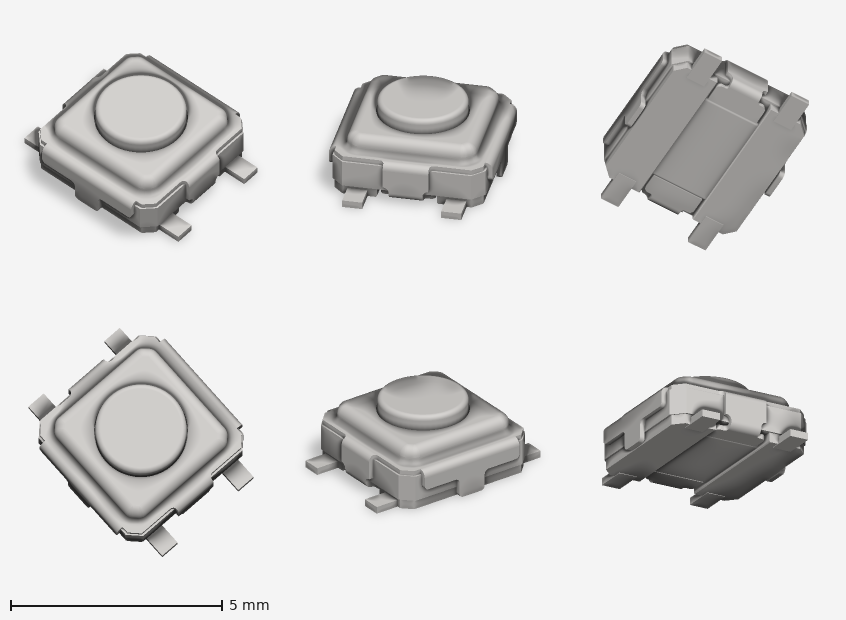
import cadquery as cq
import math


overall_height = 1.8
base_bottom = 0.015
step_z = 0.26
sheet = 0.125
cover_top = 1.035
base_top = cover_top - sheet
dome_top = 1.445

base_width = 3.705
base_half = base_width / 2
base_corner = 0.29
plate_half = 1.8
plate_corner = 0.24

dome_width = 3.13
dome_half = dome_width / 2
dome_corner = 0.24
dome_edge_radius = 0.24
dome_foot_radius = 0.115
dome_corner_radius = 0.245

clip_outer = base_half + sheet
bend_radius = clip_outer - plate_half
inner_bend_radius = bend_radius - sheet
clip_radius = 0.115

side_clip_half = 1.385
side_clip_bottom = 0.535
tab_half = 0.37

end_clip_half = 0.55
hook_bottom = step_z - bend_radius
hook_top = hook_bottom + sheet
hook_half = end_clip_half + clip_radius
hook_end = 1.245
notch_radius = 0.145
neck_half = end_clip_half - notch_radius
hook_notch_radius = 0.07

recess_half = 0.73
recess_chamfer = 0.025
core_edge_radius = 0.057

terminal_reach = 2.395
terminal_inner_end = 1.56
terminal_width = 0.485
terminal_top = 0.175
terminal_y = 1.198

button_diameter = 2.16
button_radius = button_diameter / 2
button_edge_radius = 0.12
button_clearance = 0.03
button_bottom = cover_top

big = 4 * base_half


def block(x0, x1, y0, y1, z0, z1):
    """Box between two opposite corners."""
    return cq.Workplane("XY").box(x1 - x0, y1 - y0, z1 - z0, centered=False).translate((x0, y0, z0))


def octagon(half, corner, z0, z1):
    """Square prism with chamfered vertical edges."""
    prism = cq.Workplane("XY").workplane(offset=z0).rect(2 * half, 2 * half).extrude(z1 - z0)
    return prism.edges("|Z").chamfer(corner)


def both_ends(shape):
    """The shape and its copy turned half a turn about Z."""
    return shape.union(shape.rotate((0, 0, 0), (0, 0, 1), 180))


def make_cover():
    """Cover plate with its raised dome, which flares out where it meets the plate."""
    dome = octagon(dome_half, dome_corner, base_top, dome_top)
    dome = dome.edges("|Z").fillet(dome_corner_radius)
    dome = dome.faces(">Z").edges().fillet(dome_edge_radius)
    cover = octagon(plate_half, plate_corner, base_top, cover_top).union(dome)
    around_dome = dome_half + sheet / 4
    foot_edges = cq.selectors.BoxSelector(
        (-around_dome, -around_dome, cover_top - sheet / 4),
        (around_dome, around_dome, cover_top + sheet / 4),
    )
    return cover.edges(foot_edges).fillet(dome_foot_radius)


def make_base():
    """Wide base on a narrower foot, with a recess underneath that leaves a lower core."""
    foot = octagon(plate_half, plate_corner, base_bottom, step_z)
    flare_half = recess_half + recess_chamfer
    recess = (
        cq.Workplane("YZ", origin=(-big / 2, 0, 0))
        .moveTo(-flare_half, base_bottom)
        .lineTo(-recess_half, base_bottom + recess_chamfer)
        .lineTo(-recess_half, step_z)
        .lineTo(recess_half, step_z)
        .lineTo(recess_half, base_bottom + recess_chamfer)
        .lineTo(flare_half, base_bottom)
        .close()
        .extrude(big)
    )
    core = block(-hook_end, hook_end, -recess_half, recess_half, hook_bottom, step_z)
    core = core.edges("|Y and <Z").fillet(core_edge_radius)
    foot = foot.cut(recess).union(core)
    return foot.union(octagon(base_half, base_corner, step_z, base_top))


def bent_sheet(half_width, bottom):
    """Sheet on the -X side: out from the cover plate, round a bend and straight down to a height."""
    diagonal = math.sqrt(0.5)
    bend_z = cover_top - bend_radius
    profile = (
        cq.Workplane("XZ", origin=(0, half_width, 0))
        .moveTo(-plate_half, cover_top)
        .threePointArc(
            (-plate_half - bend_radius * diagonal, bend_z + bend_radius * diagonal),
            (-clip_outer, bend_z),
        )
        .lineTo(-clip_outer, bottom)
        .lineTo(-base_half, bottom)
        .lineTo(-base_half, bend_z)
        .threePointArc(
            (-plate_half - inner_bend_radius * diagonal, bend_z + inner_bend_radius * diagonal),
            (-plate_half, base_top),
        )
        .close()
    )
    return profile.extrude(2 * half_width)


def make_side_clip():
    """T-shaped clip on the -Y side, lying flat against the base."""
    strip = bent_sheet(side_clip_half, base_bottom).rotate((0, 0, 0), (0, 0, 1), 90)
    wide_part = block(-side_clip_half, side_clip_half, -big, 0, side_clip_bottom, cover_top)
    wide_part = wide_part.edges("|Y and <Z").fillet(clip_radius)
    tab = block(-tab_half, tab_half, -big, 0, base_bottom, cover_top)
    tab = tab.edges("|Y and <Z").fillet(clip_radius)
    outline = wide_part.union(tab)
    corner_reach = clip_radius / 2
    inner_corners = cq.selectors.BoxSelector(
        (-tab_half - corner_reach, -big, side_clip_bottom - corner_reach),
        (tab_half + corner_reach, 0, side_clip_bottom + corner_reach),
    )
    outline = outline.edges(inner_corners).edges("|Y").fillet(clip_radius)
    return strip.intersect(outline)


def make_end_clip():
    """Clip on the -X side: flared at the cover plate, notched, and bent under the base as a hook."""
    outline = block(-big, -plate_half, -end_clip_half, end_clip_half, step_z, cover_top)
    flare_x = -plate_half - clip_radius
    flare = block(flare_x, -plate_half, -hook_half, hook_half, base_top, cover_top)
    for side in (-1, 1):
        flare = flare.cut(
            cq.Workplane("XY", origin=(flare_x, side * hook_half, base_top))
            .circle(clip_radius)
            .extrude(sheet)
        )
    clip = bent_sheet(hook_half, step_z).intersect(outline.union(flare))

    bend = (
        cq.Workplane("XZ", origin=(-plate_half, neck_half, step_z))
        .circle(bend_radius)
        .circle(inner_bend_radius)
        .extrude(2 * neck_half)
    )
    bend = bend.intersect(block(-big, -plate_half, -big, big, 0, step_z))

    neck_root_half = neck_half + hook_notch_radius
    shoulder_x = -plate_half + hook_notch_radius
    hook = block(shoulder_x, -hook_end, -hook_half, hook_half, hook_bottom, hook_top)
    hook = hook.edges("|Z and <X").fillet(clip_radius)
    neck = block(-plate_half, shoulder_x, -neck_root_half, neck_root_half, hook_bottom, hook_top)
    hook = hook.union(neck)

    for side in (-1, 1):
        clip = clip.cut(
            cq.Workplane("YZ", origin=(-clip_outer, side * end_clip_half, step_z))
            .circle(notch_radius)
            .extrude(sheet)
        )
        hook = hook.cut(
            cq.Workplane("XY", origin=(-plate_half, side * neck_root_half, hook_bottom))
            .circle(hook_notch_radius)
            .extrude(sheet)
        )
    return clip.union(bend).union(hook)


def make_terminals():
    """Four flat terminals, two on each X side."""
    half_width = terminal_width / 2
    terminals = cq.Workplane("XY")
    for y in (-terminal_y, terminal_y):
        terminal = block(
            -terminal_reach, -terminal_inner_end, y - half_width, y + half_width, 0, terminal_top
        )
        terminals = terminals.union(both_ends(terminal))
    return terminals


def make_housing():
    """Base, cover, clips and terminals in one solid, with a round recess for the button."""
    housing = make_base().union(make_cover())
    housing = housing.union(both_ends(make_side_clip()))
    housing = housing.union(both_ends(make_end_clip()))
    housing = housing.union(make_terminals())
    recess = (
        cq.Workplane("XY", origin=(0, 0, button_bottom))
        .circle(button_radius + button_clearance)
        .extrude(overall_height)
    )
    return housing.cut(recess)


def make_button():
    """Round button with a rounded top edge, standing on the floor of its recess."""
    button = (
        cq.Workplane("XY", origin=(0, 0, button_bottom))
        .circle(button_radius)
        .extrude(overall_height - button_bottom)
    )
    return button.faces(">Z").edges().fillet(button_edge_radius)


housing = make_housing()
button = make_button()
result = cq.Compound.makeCompound([housing.val(), button.val()])